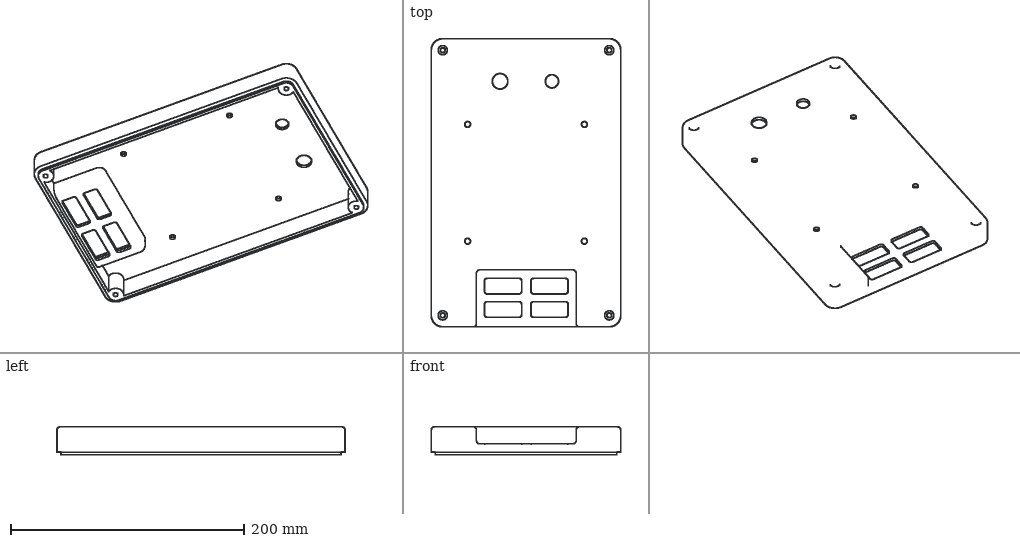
import cadquery as cq
import math

length_x = 162.5
length_y = 247.0
height = 24.2
corner_radius = 10.0
edge_radius = 3.0

lip_inset = 3.5
lip_height = 2.5

side_wall = 6.0
skin = 3.0

recess_width = 85.5
recess_center_x = 0.2
recess_depth = 14.8
recess_back_y = -74.5

window_width = 31.5
window_height = 13.0
window_pitch_x = 39.8
window_pitch_y = 20.0
window_center_y = -98.5
window_corner_radius = 2.0

screw_bore_diameter = 8.0
screw_bore_depth = 14.8
screw_hole_diameter = 4.0

mount_spacing = 100.0
mount_diameter = 4.7
panel_hole_y = 87.0
panel_hole_offset_x = 22.2
large_panel_diameter = 13.0
small_panel_diameter = 11.0

selection_margin = 0.2

front_y = -length_y / 2
recess_floor_z = height - recess_depth
screw_spacing_x = length_x - 2 * corner_radius
screw_spacing_y = length_y - 2 * corner_radius


def rounded_slab(inset, bottom, top):
    """Slab with the cover's outline moved inward by inset."""
    return (
        cq.Workplane("XY", origin=(0, 0, bottom))
        .rect(length_x - 2 * inset, length_y - 2 * inset)
        .extrude(top - bottom)
        .edges("|Z")
        .fillet(corner_radius - inset)
    )


def recess_block(margin):
    """Recess volume grown by margin, running out past the front and top."""
    overrun = 2 * edge_radius
    radius = edge_radius + margin
    width = recess_width + 2 * margin
    y_min = front_y - overrun
    y_max = recess_back_y + margin
    z_min = recess_floor_z - margin
    block = cq.Workplane("XY", origin=(recess_center_x, y_min, z_min)).box(
        width, y_max - y_min, height + overrun - z_min, centered=(True, False, False)
    )
    block = block.edges("|Z and >Y").fillet(radius)
    return block.faces("<Z").edges("not <Y").fillet(radius)


def at_screws():
    """Workplane holding the four screw positions."""
    return cq.Workplane("XY").rarray(screw_spacing_x, screw_spacing_y, 2, 2)


def outer_shell():
    """Solid cover with its recess and all top and recess edges rounded."""
    body = rounded_slab(0, lip_height, height).cut(recess_block(0))
    x_min = recess_center_x - recess_width / 2 - selection_margin
    x_max = recess_center_x + recess_width / 2 + selection_margin
    recess_mouth = cq.selectors.BoxSelector(
        (x_min, front_y - selection_margin, recess_floor_z - selection_margin),
        (x_max, front_y + selection_margin, height),
    )
    rim = body.faces(">Z").edges().add(body.faces("<Y").edges(recess_mouth))
    body = body.newObject(rim.vals()).fillet(edge_radius)
    return body.union(rounded_slab(lip_inset, 0, lip_height))


def cavity():
    """Void under the skin, leaving the recess housing and screw posts."""
    post_radius = screw_bore_diameter / 2 + skin
    posts = at_screws().circle(post_radius).extrude(height)
    return rounded_slab(side_wall, 0, height - skin).cut(recess_block(skin)).cut(posts)


def screw_cutter():
    """Through hole and counterbore with a rounded, flared mouth."""
    hole_radius = screw_hole_diameter / 2
    bore_radius = screw_bore_diameter / 2
    seat_z = height - screw_bore_depth
    mouth_radius = bore_radius + edge_radius
    flare_diagonal = edge_radius * math.sqrt(0.5)
    profile = (
        cq.Workplane("XZ")
        .lineTo(hole_radius, 0)
        .lineTo(hole_radius, seat_z)
        .lineTo(bore_radius, seat_z)
        .lineTo(bore_radius, height - edge_radius)
        .threePointArc(
            (mouth_radius - flare_diagonal, height - edge_radius + flare_diagonal),
            (mouth_radius, height),
        )
        .lineTo(0, height)
        .close()
    )
    return profile.revolve(360, (0, 0, 0), (0, 1, 0))


def windows():
    """Four rounded vent windows through the recess floor."""
    return (
        cq.Workplane("XY", origin=(recess_center_x, window_center_y, 0))
        .rarray(window_pitch_x, window_pitch_y, 2, 2)
        .rect(window_width, window_height)
        .extrude(height)
        .edges("|Z")
        .fillet(window_corner_radius)
    )


def skin_holes():
    """Four mounting holes and two panel holes of different size."""
    holes = cq.Workplane("XY").rarray(mount_spacing, mount_spacing, 2, 2)
    holes = holes.circle(mount_diameter / 2).extrude(height)
    panel_holes = [
        (-panel_hole_offset_x, large_panel_diameter),
        (panel_hole_offset_x, small_panel_diameter),
    ]
    for x, diameter in panel_holes:
        hole = cq.Workplane("XY").center(x, panel_hole_y).circle(diameter / 2).extrude(height)
        holes = holes.union(hole)
    return holes


screws = at_screws().eachpoint(screw_cutter().val(), combine=False)

cover = outer_shell().cut(cavity()).cut(screws).cut(windows()).cut(skin_holes())
result = cover.solids()